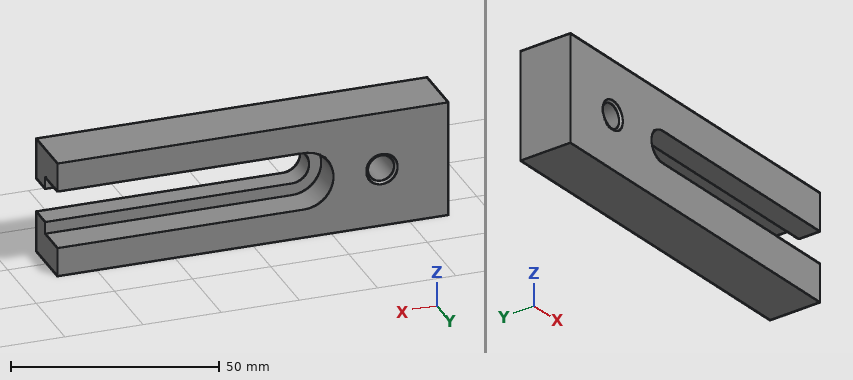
import cadquery as cq

length = 100.0
thickness = 15.0
height = 30.0

slot_width = 8.8
slot_end = 32.5
slot_arc_center = slot_end + slot_width / 2

step_width = 15.0
step_depth = 6.4

hole_position = 17.0
hole_diameter = 6.7
mouth_diameter = 8.0
mouth_chamfer = (mouth_diameter - hole_diameter) / 2


def make_slot(width, start_depth):
    """Slot with a round inner end, open at +X, running from start_depth to the rear face."""
    radius = width / 2
    return (
        cq.Workplane("XZ", origin=(0, start_depth, 0))
        .moveTo(length, -radius)
        .lineTo(slot_arc_center, -radius)
        .threePointArc((slot_arc_center - radius, 0), (slot_arc_center, radius))
        .lineTo(length, radius)
        .close()
        .extrude(start_depth - thickness)
    )


def make_hole():
    """Through hole with a 45 degree chamfer at both faces."""
    hole = (
        cq.Workplane("XZ")
        .center(hole_position, 0)
        .circle(hole_diameter / 2)
        .extrude(-thickness)
    )
    mouth = (
        cq.Workplane("XZ")
        .center(hole_position, 0)
        .circle(mouth_diameter / 2)
        .extrude(-mouth_chamfer, taper=45)
    )
    far_mouth = mouth.mirror("XZ").translate((0, thickness, 0))
    return hole.union(mouth).union(far_mouth)


block = cq.Workplane("XY").box(length, thickness, height).translate((length / 2, thickness / 2, 0))
narrow_slot = make_slot(slot_width, 0)
wide_slot = make_slot(step_width, step_depth)
result = block.cut(narrow_slot).cut(wide_slot).cut(make_hole())